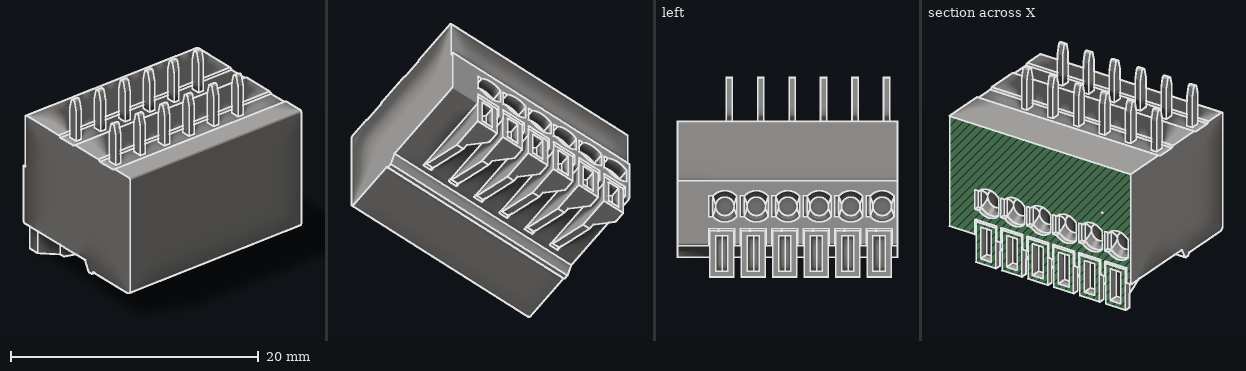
import cadquery as cq
import math

LENGTH = 17.78
POLES = 6
PITCH = LENGTH / (POLES + 1)

WIDTH = 13.7
BODY_TOP = 12.59
UNDERSIDE = 2.5
FOOT_UNDERSIDE = 1.81
LEDGE_DEPTH = 0.21
LEDGE_Z = 7.79
EDGE_ROUND = 0.2
REAR_BOTTOM_ROUND = 0.4

RIB_START_X = 7.88
RIB_END_X = 8.93
RIB_BOTTOM = 1.58
RIB_FLAT_START_X = 8.4
RIB_FLAT_END_X = 8.78
RIB_SIDE_X = 8.27
RIB_SIDE_Z = 1.76

PIN_ROW_X = 5.58
ROW_SPACING = 2 * PITCH
PIN_WIDTH = 0.8
PIN_THICKNESS = 0.52
PIN_TOP = 16.1
PIN_SHOULDER_Z = 15.2
PIN_TIP_SHOULDER_Z = 15.97
PIN_TIP_WIDTH = 0.43
PIN_Y = 0.89
GROOVE_DEPTH = 0.15
GROOVE_TOP_WIDTH = 2.08
GROOVE_FLOOR_WIDTH = 1.67

ENTRY_Y = 1.25
ENTRY_Z = 5.7
ENTRY_MOUTH_RADIUS = 1.26
ENTRY_THROAT_RADIUS = 0.75
MOUTH_DEPTH = 1.01
TAPER_DEPTH = 0.57
ENTRY_HALF_WIDTH = 0.98
SIDE_POCKET_HEIGHT = 1.72

LEVER_Y = 0.52
LEVER_WIDTH = 1.95
LEVER_FRONT_X = 0.15
LEVER_TOP = 3.73
LEVER_TAPER_START_X = 1.2
LEVER_TAPER = 1.3
LEVER_TAPER_ANGLE = math.radians(45)
LEVER_HEEL_X = 2.95
LEVER_SLOPE = math.radians(30)
LEVER_END_RADIUS = 1.9
LEVER_GAP = 0.07
SLOT_TOP_GAP = 0.15
SLOT_END_X = 7.38
WINDOW_WALL = 0.48
WINDOW_TOP_WALL = 0.41
WINDOW_TAPER = 0.45


def make_housing():
    section = (
        cq.Workplane("XZ")
        .moveTo(0, UNDERSIDE)
        .lineTo(RIB_START_X, UNDERSIDE)
        .lineTo(RIB_SIDE_X, RIB_SIDE_Z)
        .lineTo(RIB_FLAT_START_X, RIB_BOTTOM)
        .lineTo(RIB_FLAT_END_X, RIB_BOTTOM)
        .lineTo(RIB_END_X, FOOT_UNDERSIDE)
        .lineTo(WIDTH, FOOT_UNDERSIDE)
        .lineTo(WIDTH, BODY_TOP)
        .lineTo(LEDGE_DEPTH, BODY_TOP)
        .lineTo(LEDGE_DEPTH, LEDGE_Z)
        .lineTo(0, LEDGE_Z)
        .close()
    )
    housing = section.extrude(-LENGTH)
    housing = housing.faces(">Z").edges("|Y").fillet(EDGE_ROUND)
    front_bottom = cq.selectors.NearestToPointSelector((0, LENGTH / 2, UNDERSIDE))
    housing = housing.edges("|Y").edges(front_bottom).fillet(EDGE_ROUND)
    rear_bottom = cq.selectors.NearestToPointSelector((WIDTH, LENGTH / 2, FOOT_UNDERSIDE))
    return housing.edges("|Y").edges(rear_bottom).fillet(REAR_BOTTOM_ROUND)


def make_groove(center_x):
    return (
        cq.Workplane("XZ")
        .moveTo(center_x - GROOVE_TOP_WIDTH / 2, BODY_TOP)
        .lineTo(center_x - GROOVE_FLOOR_WIDTH / 2, BODY_TOP - GROOVE_DEPTH)
        .lineTo(center_x + GROOVE_FLOOR_WIDTH / 2, BODY_TOP - GROOVE_DEPTH)
        .lineTo(center_x + GROOVE_TOP_WIDTH / 2, BODY_TOP)
        .close()
        .extrude(-LENGTH)
    )


def make_pin(center_x):
    """Flat pin with a tapered, rounded tip, for the pole nearest Y = 0."""
    half = PIN_WIDTH / 2
    tip = PIN_TIP_WIDTH / 2
    base_z = BODY_TOP - GROOVE_DEPTH
    return (
        cq.Workplane("XZ", origin=(center_x, PIN_Y - PIN_THICKNESS / 2, 0))
        .moveTo(-half, base_z)
        .lineTo(half, base_z)
        .lineTo(half, PIN_SHOULDER_Z)
        .lineTo(tip, PIN_TIP_SHOULDER_Z)
        .threePointArc((0, PIN_TOP), (-tip, PIN_TIP_SHOULDER_Z))
        .lineTo(-half, PIN_SHOULDER_Z)
        .close()
        .extrude(-PIN_THICKNESS)
    )


def make_wire_entry():
    """Blind, flat-sided round mouth that tapers onto a round throat, with a side pocket."""
    mouth = (
        cq.Workplane("YZ", origin=(0, ENTRY_Y, ENTRY_Z))
        .circle(ENTRY_MOUTH_RADIUS)
        .extrude(MOUTH_DEPTH)
    )
    cone = cq.Workplane(
        cq.Solid.makeCone(
            ENTRY_MOUTH_RADIUS,
            ENTRY_THROAT_RADIUS,
            TAPER_DEPTH,
            pnt=cq.Vector(MOUTH_DEPTH, ENTRY_Y, ENTRY_Z),
            dir=cq.Vector(1, 0, 0),
        )
    )
    taper_end_x = MOUTH_DEPTH + TAPER_DEPTH
    flat_sides = (
        cq.Workplane("XY", origin=(0, ENTRY_Y, ENTRY_Z))
        .moveTo(0, -ENTRY_HALF_WIDTH)
        .lineTo(MOUTH_DEPTH, -ENTRY_HALF_WIDTH)
        .lineTo(taper_end_x, -ENTRY_THROAT_RADIUS)
        .lineTo(taper_end_x, ENTRY_THROAT_RADIUS)
        .lineTo(MOUTH_DEPTH, ENTRY_HALF_WIDTH)
        .lineTo(0, ENTRY_HALF_WIDTH)
        .close()
        .extrude(ENTRY_MOUTH_RADIUS, both=True)
    )
    pocket_end_y = LEVER_Y + LEVER_WIDTH + LEVER_GAP
    pocket = (
        cq.Workplane("XY")
        .box(MOUTH_DEPTH, pocket_end_y - ENTRY_Y, SIDE_POCKET_HEIGHT, centered=(False, False, True))
        .translate((0, ENTRY_Y, ENTRY_Z))
    )
    return mouth.union(cone).intersect(flat_sides).union(pocket)


def make_lever_block(start_x, end_x, gap, top_z):
    """Block from Z = 0 that narrows on its low-Y side; gap widens it on both sides."""
    low_y = LEVER_Y - gap
    high_y = LEVER_Y + LEVER_WIDTH + gap
    taper_end_x = LEVER_TAPER_START_X + LEVER_TAPER / math.tan(LEVER_TAPER_ANGLE)
    return (
        cq.Workplane("XY")
        .moveTo(start_x, low_y)
        .lineTo(LEVER_TAPER_START_X, low_y)
        .lineTo(taper_end_x, low_y + LEVER_TAPER)
        .lineTo(end_x, low_y + LEVER_TAPER)
        .lineTo(end_x, high_y)
        .lineTo(start_x, high_y)
        .close()
        .extrude(top_z)
    )


def make_slot():
    return make_lever_block(0, SLOT_END_X, LEVER_GAP, LEVER_TOP + SLOT_TOP_GAP)


def make_window():
    """Blind window in the lever face, its low-Y wall parallel to the lever's taper."""
    low_y = LEVER_Y + WINDOW_WALL
    high_y = LEVER_Y + LEVER_WIDTH - WINDOW_WALL
    taper_start_x = LEVER_TAPER_START_X - WINDOW_WALL * math.tan(LEVER_TAPER_ANGLE / 2)
    end_x = taper_start_x + WINDOW_TAPER / math.tan(LEVER_TAPER_ANGLE)
    return (
        cq.Workplane("XY", origin=(0, 0, WINDOW_WALL))
        .moveTo(LEVER_FRONT_X, low_y)
        .lineTo(taper_start_x, low_y)
        .lineTo(end_x, low_y + WINDOW_TAPER)
        .lineTo(end_x, high_y)
        .lineTo(LEVER_FRONT_X, high_y)
        .close()
        .extrude(LEVER_TOP - WINDOW_WALL - WINDOW_TOP_WALL)
    )


def make_lever():
    """Lever whose sloping underside runs into a large round at its buried end."""
    arc_start_z = LEVER_TOP - LEVER_END_RADIUS * math.cos(LEVER_SLOPE)
    arc_start_x = LEVER_HEEL_X + arc_start_z / math.tan(LEVER_SLOPE)
    arc_center_x = arc_start_x - LEVER_END_RADIUS * math.sin(LEVER_SLOPE)
    end_x = arc_center_x + LEVER_END_RADIUS
    middle_angle = (math.pi / 2 - LEVER_SLOPE) / 2
    arc_middle = (
        arc_center_x + LEVER_END_RADIUS * math.cos(middle_angle),
        LEVER_TOP - LEVER_END_RADIUS * math.sin(middle_angle),
    )
    side = (
        cq.Workplane("XZ")
        .moveTo(LEVER_FRONT_X, 0)
        .lineTo(LEVER_HEEL_X, 0)
        .lineTo(arc_start_x, arc_start_z)
        .threePointArc(arc_middle, (end_x, LEVER_TOP))
        .lineTo(LEVER_FRONT_X, LEVER_TOP)
        .close()
        .extrude(-LENGTH)
    )
    block = make_lever_block(LEVER_FRONT_X, end_x, 0, LEVER_TOP)
    return block.intersect(side).cut(make_window())


pin_rows = (PIN_ROW_X, PIN_ROW_X + ROW_SPACING)
wire_entry = make_wire_entry()
slot = make_slot()
lever = make_lever()

result = make_housing()
for row_x in pin_rows:
    result = result.cut(make_groove(row_x))
for pole in range(POLES):
    offset = (0, pole * PITCH, 0)
    result = result.cut(wire_entry.translate(offset)).cut(slot.translate(offset))
    result = result.union(lever.translate(offset))
    for row_x in pin_rows:
        result = result.union(make_pin(row_x).translate(offset))